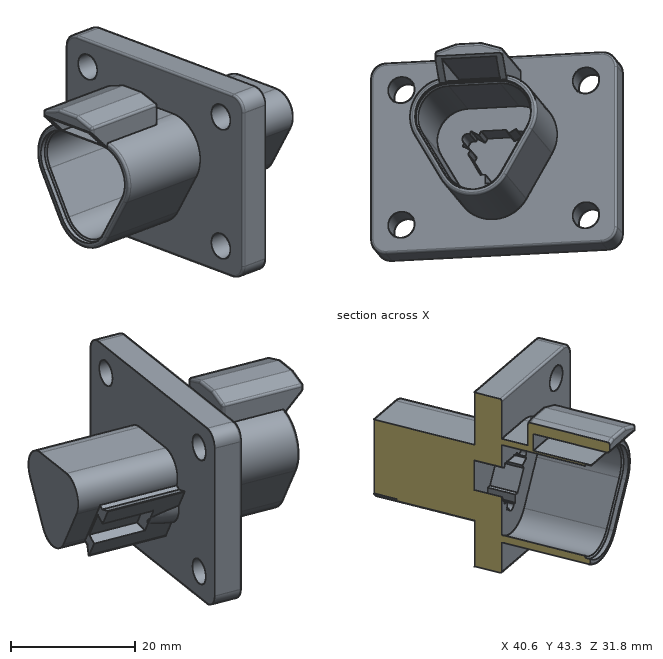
import cadquery as cq
import math


flange_width = 40.55
flange_height = 31.75
flange_thickness = 5.05
flange_corner_radius = 2.5
flange_edge_radius = 0.4
hole_diameter = 4.35
hole_spacing_x = 30.4
hole_spacing_z = 22.45

corner_angles = (30, 150, 270)
half_corner_sweep = 60
corner_center_distance = 4.9
shell_corner_radius = 6.25
shell_wall = 1.2
shell_length = 16.3
shell_outer_rim_radius = 0.45
mouth_wall = 0.9
mouth_depth = 0.85
mouth_chamfer_depth = 0.25
rear_corner_radius = 3.9
rear_length = 18.4

recess_depth = flange_thickness
recess_shoulder_distance = 3.6
recess_shoulder_half_width = 2.15
lobe_half_width = 1.4
lobe_end_distance = 5.05
lobe_tip_half_width = 0.85
lobe_tip_distance = 5.8

hood_half_width = 5.55
hood_top_half_width = 2.05
hood_top_z = 13.25
hood_shoulder_z = 12.12
hood_base_z = 7.8
hood_nose_z = 11.35
hood_rear_offset = 4.7
hood_edge_radius = 0.48
hood_overhang = hood_nose_z - hood_base_z
hood_length = shell_length + hood_overhang - hood_rear_offset
hood_side_wall = 1.1
channel_half_width = hood_half_width - hood_side_wall
channel_floor_z = 7.95
channel_top_z = 10.9

rail_angle = math.radians(210)
rail_length = 14.25
rail_outer_distance = 8.55
rail_lip = 0.15
rail_half_width = 6.2
rail_neck_half_width = 4.95
rail_lip_distance = rail_outer_distance - rail_lip
rail_neck_distance = rail_lip_distance - (rail_half_width - rail_neck_half_width)
slot_half_width = 2.75
slot_floor_distance = 6.7
slot_end_at_floor = 5.35
slot_end_at_face = 4.8

bulge_axis_distance = 5.5
bulge_base_radius = 3.85
bulge_tip_radius = rail_outer_distance - bulge_axis_distance
bulge_length = 5.2


def polar(distance, angle_degrees, sideways=0.0):
    """Point at a distance along a direction, moved sideways (counter-clockwise)."""
    angle = math.radians(angle_degrees)
    return (
        distance * math.cos(angle) - sideways * math.sin(angle),
        distance * math.sin(angle) + sideways * math.cos(angle),
    )


def offset_point(center, radius, angle_degrees):
    """Point on a circle around the given centre."""
    dx, dz = polar(radius, angle_degrees)
    return (center[0] + dx, center[1] + dz)


def plane_xz(y):
    """Workplane facing -Y, with local axes X and Z."""
    return cq.Workplane("XZ", origin=(0, y, 0))


def rounded_triangle(y, corner_radius, length):
    """Prism with one corner pointing down, growing from y toward -Y."""
    outline = None
    for angle in corner_angles:
        center = polar(corner_center_distance, angle)
        start = offset_point(center, corner_radius, angle - half_corner_sweep)
        middle = offset_point(center, corner_radius, angle)
        end = offset_point(center, corner_radius, angle + half_corner_sweep)
        outline = plane_xz(y).moveTo(*start) if outline is None else outline.lineTo(*start)
        outline = outline.threePointArc(middle, end)
    return outline.close().extrude(length)


def make_flange():
    """Rounded plate with a soft front edge and four mounting holes."""
    flange = plane_xz(flange_thickness).rect(flange_width, flange_height).extrude(flange_thickness)
    flange = flange.edges("|Y").fillet(flange_corner_radius)
    flange = flange.faces("<Y").edges().fillet(flange_edge_radius)
    holes = (
        plane_xz(flange_thickness)
        .rect(hole_spacing_x, hole_spacing_z, forConstruction=True)
        .vertices()
        .circle(hole_diameter / 2)
        .extrude(flange_thickness)
    )
    return flange.cut(holes)


def make_shell():
    """Tube with a rounded outer rim and a slightly wider mouth that tapers into the cavity."""
    shell = rounded_triangle(0, shell_corner_radius, shell_length)
    shell = shell.faces("<Y").edges().fillet(shell_outer_rim_radius)

    cavity_radius = shell_corner_radius - shell_wall
    mouth_radius = shell_corner_radius - mouth_wall
    mouth_total_depth = mouth_depth + mouth_chamfer_depth
    cavity = rounded_triangle(0, cavity_radius, shell_length)
    mouth = rounded_triangle(mouth_total_depth - shell_length, mouth_radius, mouth_total_depth)
    mouth = mouth.faces(">Y").chamfer(mouth_chamfer_depth, mouth_radius - cavity_radius)
    return shell.cut(cavity).cut(mouth)


def make_recess():
    """Triangle with cut-off corners and a round-tipped lobe on each of them."""
    outline = None
    for angle in corner_angles:
        first = polar(recess_shoulder_distance, angle, -recess_shoulder_half_width)
        outline = plane_xz(recess_depth).moveTo(*first) if outline is None else outline.lineTo(*first)
        outline = (
            outline.lineTo(*polar(recess_shoulder_distance, angle, -lobe_half_width))
            .lineTo(*polar(lobe_end_distance, angle, -lobe_half_width))
            .lineTo(*polar(lobe_end_distance, angle, -lobe_tip_half_width))
            .threePointArc(
                polar(lobe_tip_distance, angle),
                polar(lobe_end_distance, angle, lobe_tip_half_width),
            )
            .lineTo(*polar(lobe_end_distance, angle, lobe_half_width))
            .lineTo(*polar(recess_shoulder_distance, angle, lobe_half_width))
            .lineTo(*polar(recess_shoulder_distance, angle, recess_shoulder_half_width))
        )
    return outline.close().extrude(recess_depth)


def make_hood():
    """Block with rounded edges and a 45 degree underside at its nose."""
    hood = (
        plane_xz(-hood_rear_offset)
        .moveTo(-hood_half_width, hood_base_z)
        .lineTo(hood_half_width, hood_base_z)
        .lineTo(hood_half_width, hood_shoulder_z)
        .lineTo(hood_top_half_width, hood_top_z)
        .lineTo(-hood_top_half_width, hood_top_z)
        .lineTo(-hood_half_width, hood_shoulder_z)
        .close()
        .extrude(hood_length)
    )
    end_edges = hood.faces("<Y or >Y").edges("not(<Z)")
    shoulder_edges = hood.faces(">X or <X").edges("|Y and (not <Z)")
    hood = end_edges.add(shoulder_edges).fillet(hood_edge_radius)
    undercut = (
        cq.Workplane("YZ", origin=(-hood_half_width, 0, 0))
        .moveTo(-shell_length, hood_base_z)
        .lineTo(-shell_length - hood_overhang, hood_base_z)
        .lineTo(-shell_length - hood_overhang, hood_nose_z)
        .close()
        .extrude(2 * hood_half_width)
    )
    return hood.cut(undercut)


def make_hood_channel():
    """Tool for the channel under the hood, open toward -Y; it also thins the top of the shell."""
    height = channel_top_z - channel_floor_z
    return (
        plane_xz(-hood_rear_offset - hood_side_wall)
        .center(0, channel_floor_z + height / 2)
        .rect(2 * channel_half_width, height)
        .extrude(hood_length)
    )


def make_rail():
    """Dovetail rail with a slot open at its far end and a bulge running into the flange."""
    outward = cq.Vector(math.cos(rail_angle), 0, math.sin(rail_angle))
    across_plane = cq.Plane((0, flange_thickness, 0), outward, (0, -1, 0))
    along_plane = cq.Plane((0, flange_thickness, 0), outward, outward.cross(cq.Vector(0, 1, 0)))

    half_outline = [
        (0, rail_neck_half_width),
        (rail_neck_distance, rail_neck_half_width),
        (rail_lip_distance, rail_half_width),
        (rail_outer_distance, rail_half_width),
    ]
    mirrored_half = [(distance, -side) for distance, side in reversed(half_outline)]
    rail = cq.Workplane(across_plane).polyline(half_outline + mirrored_half).close().extrude(-rail_length)

    slot = (
        cq.Workplane(along_plane)
        .moveTo(slot_floor_distance, rail_length)
        .lineTo(slot_floor_distance, slot_end_at_floor)
        .lineTo(rail_outer_distance, slot_end_at_face)
        .lineTo(rail_outer_distance, rail_length)
        .close()
        .extrude(slot_half_width, both=True)
    )
    bulge = cq.Workplane(
        cq.Solid.makeCone(
            bulge_base_radius,
            bulge_tip_radius,
            bulge_length,
            across_plane.toWorldCoords((bulge_axis_distance, 0)),
            cq.Vector(0, 1, 0),
        )
    )
    return rail.union(bulge).cut(slot)


rear_body = rounded_triangle(flange_thickness + rear_length, rear_corner_radius, rear_length)
result = (
    make_flange()
    .union(make_shell())
    .union(make_hood())
    .cut(make_hood_channel())
    .union(make_rail())
    .union(rear_body)
    .cut(make_recess())
)